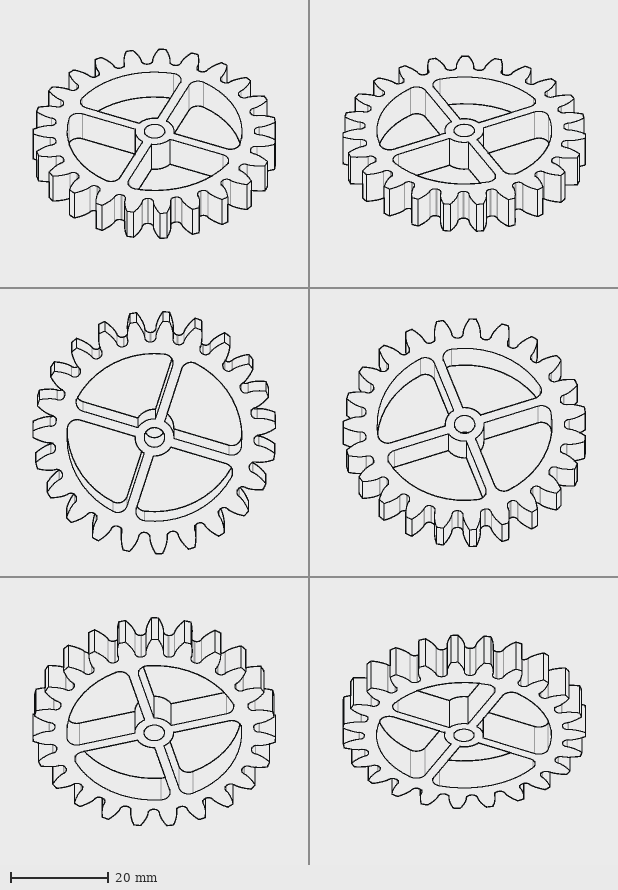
import cadquery as cq
import math

overall_height = 49.95
thickness = 7.0
tooth_count = 23
pressure_angle = math.radians(20.0)
addendum_factor = 1.0
dedendum_factor = 1.25
root_fillet = 1.05
bore_diameter = 4.2
hub_diameter = 8.0
rim_inner_diameter = 35.95
spoke_count = 4
spoke_width = 2.0
window_fillet = 2.0
flank_points = 8


def involute(angle):
    return math.tan(angle) - angle


pitch_angle = 2 * math.pi / tooth_count
tip_to_pitch_ratio = (tooth_count + 2 * addendum_factor) / tooth_count
tip_pressure_angle = math.acos(math.cos(pressure_angle) / tip_to_pitch_ratio)
base_half_angle = pitch_angle / 4 + involute(pressure_angle)
tip_half_angle = base_half_angle - involute(tip_pressure_angle)

top_tooth = round(tooth_count / 4)
top_corner_angle = top_tooth * pitch_angle - tip_half_angle
tip_radius = overall_height / 2 / math.sin(top_corner_angle)
pitch_radius = tip_radius / tip_to_pitch_ratio
module = 2 * pitch_radius / tooth_count
base_radius = pitch_radius * math.cos(pressure_angle)
root_radius = pitch_radius - dedendum_factor * module
gap_outer_radius = tip_radius + module


def polar(radius, angle):
    return (radius * math.cos(angle), radius * math.sin(angle))


def mirrored(points):
    return [(x, -y) for x, y in points]


def tooth_gap():
    """Space between two teeth, centred on +X: involute flanks, radial below the base circle."""
    base_gap_angle = pitch_angle / 2 - base_half_angle
    tip_gap_angle = pitch_angle / 2 - tip_half_angle
    flank = []
    for i in range(flank_points):
        radius = base_radius + (tip_radius - base_radius) * (i / (flank_points - 1)) ** 2
        angle = base_gap_angle + involute(math.acos(min(1.0, base_radius / radius)))
        flank.append(polar(radius, angle))
    lower_flank = mirrored(flank)
    gap = (
        cq.Workplane("XY")
        .moveTo(*polar(root_radius, base_gap_angle))
        .lineTo(*flank[0])
        .spline(flank[1:], includeCurrent=True)
        .lineTo(*polar(gap_outer_radius, tip_gap_angle))
        .lineTo(*polar(gap_outer_radius, -tip_gap_angle))
        .lineTo(*lower_flank[-1])
        .spline(lower_flank[-2::-1], includeCurrent=True)
        .lineTo(*polar(root_radius, -base_gap_angle))
        .threePointArc((root_radius, 0), polar(root_radius, base_gap_angle))
        .close()
        .extrude(thickness)
    )
    return gap.edges("|Z and <X").fillet(root_fillet)


def window():
    """Opening in the +X +Y quadrant, bounded by the hub, two spokes and the rim."""
    edge = spoke_width / 2
    hub_radius = hub_diameter / 2
    rim_radius = rim_inner_diameter / 2
    hub_reach = math.sqrt(hub_radius**2 - edge**2)
    rim_reach = math.sqrt(rim_radius**2 - edge**2)
    opening = (
        cq.Workplane("XY")
        .moveTo(hub_reach, edge)
        .lineTo(rim_reach, edge)
        .threePointArc(polar(rim_radius, math.pi / 4), (edge, rim_reach))
        .lineTo(edge, hub_reach)
        .threePointArc(polar(hub_radius, math.pi / 4), (hub_reach, edge))
        .close()
        .extrude(thickness)
    )
    return opening.edges("|Z and (>X or >Y)").fillet(window_fillet)


def rotated_copies(solid, count, first_angle):
    step = 360.0 / count
    return [solid.rotate((0, 0, 0), (0, 0, 1), first_angle + i * step) for i in range(count)]


result = cq.Workplane("XY").circle(tip_radius).circle(bore_diameter / 2).extrude(thickness)
for gap in rotated_copies(tooth_gap(), tooth_count, 180.0 / tooth_count):
    result = result.cut(gap)
for opening in rotated_copies(window(), spoke_count, 0.0):
    result = result.cut(opening)